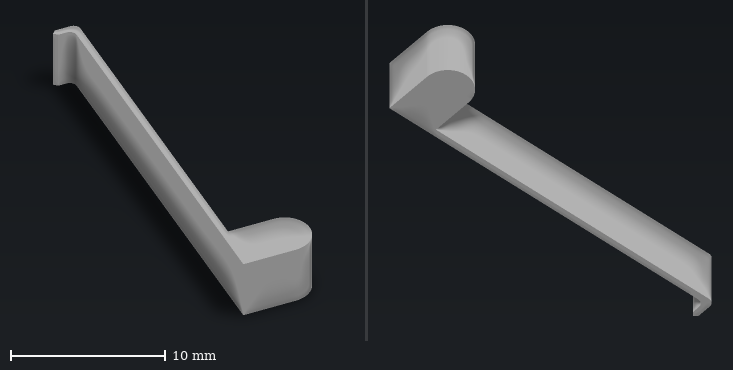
import cadquery as cq

length = 27.41
depth = 6.86
height = 4.2

strip_thickness = 0.5
hook_depth = 1.85
bend_outer_radius = 0.5
bend_inner_radius = 0.5
tip_chamfer = strip_thickness / 2

block_width = 3.553
block_end_radius = block_width / 2

strip_front_y = -strip_thickness
hook_tip_y = -hook_depth
block_end_y = depth - hook_depth
block_left_x = length - block_width


def bent_strip():
    """Strip and hook as one L-shaped profile with a rounded bend."""
    sharp = (
        cq.Workplane("XY")
        .moveTo(0, 0)
        .lineTo(length, 0)
        .lineTo(length, strip_front_y)
        .lineTo(strip_thickness, strip_front_y)
        .lineTo(strip_thickness, hook_tip_y + tip_chamfer)
        .lineTo(strip_thickness - tip_chamfer, hook_tip_y)
        .lineTo(0, hook_tip_y + tip_chamfer)
        .close()
        .extrude(height)
    )
    mid_z = height / 2
    outer_corner = cq.NearestToPointSelector((0, 0, mid_z))
    inner_corner = cq.NearestToPointSelector((strip_thickness, strip_front_y, mid_z))
    return (
        sharp
        .edges(outer_corner).fillet(bend_outer_radius)
        .edges(inner_corner).fillet(bend_inner_radius)
    )


def rounded_block():
    """Block standing on the back face of the strip, ending in a half circle."""
    arc_start_y = block_end_y - block_end_radius
    return (
        cq.Workplane("XY")
        .moveTo(block_left_x, 0)
        .lineTo(length, 0)
        .lineTo(length, arc_start_y)
        .threePointArc((length - block_end_radius, block_end_y), (block_left_x, arc_start_y))
        .close()
        .extrude(height)
    )


result = bent_strip().union(rounded_block(), clean=False)